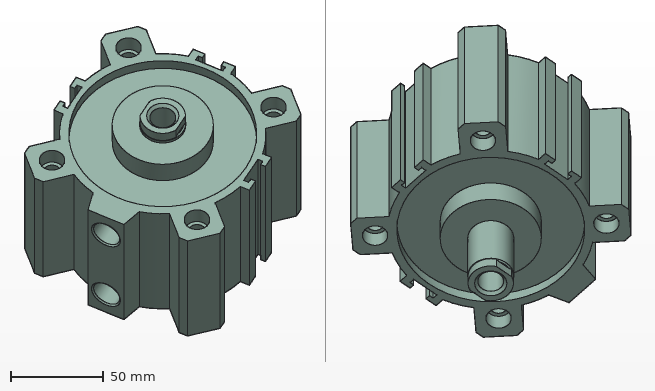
import cadquery as cq
import math


TOTAL_LENGTH = 143.0
BODY_WIDTH = 120.0
BODY_DEPTH = 126.0

BODY_HEIGHT = 82.0
BODY_DIAMETER = 112.0
RECESS_DIAMETER = 102.0
RECESS_DEPTH = 6.6
COLLAR_DIAMETER = 54.9
COLLAR_PROJECTION = 7.5

LUG_WIDTH = 25.9
LUG_REACH = 75.6
LUG_HOLE_SPACING = 89.0
LUG_HOLE_DIAMETER = 9.5
COUNTERBORE_DIAMETER = 13.7
COUNTERBORE_DEPTH = 10.0

RAIL_WIDTH = 26.0
SLOT_MOUTH_WIDTH = 11.5
SLOT_INNER_WIDTH = 16.6
SLOT_LIP_THICKNESS = 3.0
SLOT_FLOOR_RADIUS = 54.0
RAIL_ANGLES = (0, 90, 180)

PORT_FACE_WIDTH = 22.0
PORT_BLOCK_DRAFT = 15.0
PORT_END_DISTANCE = 15.3
PORT_DIAMETER = 16.0
PORT_CHAMFER = 0.9
PORT_DEPTH = 20.0

ROD_DIAMETER = 25.0
ROD_TOP_PROJECTION = 8.0
ROD_END_DIAMETER = 24.6
ROD_END_LENGTH = 5.6
SHOULDER_CHAMFER_HEIGHT = 0.7
SHOULDER_CHAMFER_WIDTH = 1.0
ROD_FLATS_WIDTH = 22.0
ROD_HOLE_DIAMETER = 14.0
ROD_HOLE_MOUTH_DIAMETER = 17.5
ROD_HOLE_DEPTH = 22.9
DRILL_POINT_ANGLE = 118.0

HALF_WIDTH = BODY_WIDTH / 2
PORT_FACE_DISTANCE = BODY_DEPTH - HALF_WIDTH
ROD_TOP = BODY_HEIGHT + COLLAR_PROJECTION + ROD_TOP_PROJECTION
ROD_BOTTOM = ROD_TOP - TOTAL_LENGTH


def cylinder(diameter, bottom, top):
    """Upright cylinder on the rod axis."""
    return cq.Workplane("XY").workplane(offset=bottom).circle(diameter / 2).extrude(top - bottom)


def box(x_size, y_size, x_center=0, y_center=0):
    """Upright block of the body's full height."""
    return (
        cq.Workplane("XY")
        .center(x_center, y_center)
        .rect(x_size, y_size)
        .extrude(BODY_HEIGHT)
    )


def rotated(shape, angle):
    """Copy of a shape rotated about the rod axis."""
    return shape.rotate((0, 0, 0), (0, 0, 1), angle)


def lugs():
    """Two crossing diagonal bars, with their corners trimmed to the body's square."""
    bar = box(2 * LUG_REACH, LUG_WIDTH)
    cross = rotated(bar, 45).union(rotated(bar, -45))
    return cross.intersect(box(BODY_WIDTH, BODY_WIDTH))


def rail():
    """Raised block for a T-slot, on the +X side."""
    return box(HALF_WIDTH, RAIL_WIDTH, HALF_WIDTH / 2)


def t_slot():
    """Cutter for the T-slot of the rail on the +X side."""
    slot_length = HALF_WIDTH - SLOT_FLOOR_RADIUS
    mouth = box(slot_length, SLOT_MOUTH_WIDTH, SLOT_FLOOR_RADIUS + slot_length / 2)
    inner_length = slot_length - SLOT_LIP_THICKNESS
    inner = box(inner_length, SLOT_INNER_WIDTH, SLOT_FLOOR_RADIUS + inner_length / 2)
    return mouth.union(inner)


def port_block():
    """Block on the front that narrows towards its flat port face."""
    root_distance = RECESS_DIAMETER / 2
    half_face = PORT_FACE_WIDTH / 2
    widening = (PORT_FACE_DISTANCE - root_distance) * math.tan(math.radians(PORT_BLOCK_DRAFT))
    half_root = half_face + widening
    outline = [
        (-half_face, -PORT_FACE_DISTANCE),
        (half_face, -PORT_FACE_DISTANCE),
        (half_root, -root_distance),
        (-half_root, -root_distance),
    ]
    return cq.Workplane("XY").polyline(outline).close().extrude(BODY_HEIGHT)


def port(height):
    """Cutter for one blind port with a chamfered mouth."""
    face = cq.Workplane("XZ", origin=(0, -PORT_FACE_DISTANCE, height))
    bore = face.circle(PORT_DIAMETER / 2).extrude(-PORT_DEPTH)
    mouth_radius = PORT_DIAMETER / 2 + PORT_CHAMFER
    chamfer = face.circle(mouth_radius).extrude(-PORT_CHAMFER, taper=45)
    return bore.union(chamfer)


def lug_holes():
    """Cutter for the lug through holes, counterbored at both ends."""
    layout = cq.Workplane("XY").rect(LUG_HOLE_SPACING, LUG_HOLE_SPACING, forConstruction=True).vertices()
    holes = layout.circle(LUG_HOLE_DIAMETER / 2).extrude(BODY_HEIGHT)
    counterbore = layout.circle(COUNTERBORE_DIAMETER / 2).extrude(COUNTERBORE_DEPTH)
    return holes.union(counterbore).union(counterbore.translate((0, 0, BODY_HEIGHT - COUNTERBORE_DEPTH)))


def make_housing():
    body = cylinder(BODY_DIAMETER, 0, BODY_HEIGHT).union(lugs())
    for angle in RAIL_ANGLES:
        body = body.union(rotated(rail(), angle))
    body = body.union(port_block())
    for angle in RAIL_ANGLES:
        body = body.cut(rotated(t_slot(), angle))
    for height in (PORT_END_DISTANCE, BODY_HEIGHT - PORT_END_DISTANCE):
        body = body.cut(port(height))
    body = body.cut(lug_holes())
    body = body.cut(cylinder(RECESS_DIAMETER, 0, RECESS_DEPTH))
    body = body.cut(cylinder(RECESS_DIAMETER, BODY_HEIGHT - RECESS_DEPTH, BODY_HEIGHT))
    collar_bottom = -COLLAR_PROJECTION
    collar_top = BODY_HEIGHT + COLLAR_PROJECTION
    body = body.union(cylinder(COLLAR_DIAMETER, collar_bottom, collar_top))
    return body.cut(cylinder(ROD_DIAMETER, collar_bottom, collar_top))


def turned_profile(points):
    """Solid of revolution about the rod axis, from (radius, height) points."""
    return cq.Workplane("XZ").polyline(points).close().revolve(360, (0, 0, 0), (0, 1, 0))


def rod_end_hole():
    """Cutter for the upper rod end: a drilled hole with a chamfered mouth and a conical bottom."""
    radius = ROD_HOLE_DIAMETER / 2
    mouth_radius = ROD_HOLE_MOUTH_DIAMETER / 2
    straight_end = ROD_TOP - ROD_HOLE_DEPTH
    tip = straight_end - radius / math.tan(math.radians(DRILL_POINT_ANGLE / 2))
    profile = [
        (0, ROD_TOP),
        (mouth_radius, ROD_TOP),
        (radius, ROD_TOP - (mouth_radius - radius)),
        (radius, straight_end),
        (0, tip),
    ]
    return turned_profile(profile)


def rod_end():
    """Upper rod end: slightly reduced, with two wrench flats facing +X and -X, set into the shoulder."""
    bottom = ROD_TOP - ROD_END_LENGTH - SHOULDER_CHAMFER_HEIGHT
    between_flats = (
        cq.Workplane("XY")
        .workplane(offset=bottom)
        .rect(ROD_FLATS_WIDTH, ROD_DIAMETER)
        .extrude(ROD_TOP - bottom)
    )
    return cylinder(ROD_END_DIAMETER, bottom, ROD_TOP).intersect(between_flats)


def mirrored(shape):
    """Copy of an upper rod end feature, placed at the lower rod end."""
    rod_middle = (ROD_TOP + ROD_BOTTOM) / 2
    return shape.mirror("XY", (0, 0, rod_middle))


def shaft():
    """Full-diameter length of the rod, with a shallow conical shoulder at each end."""
    bottom = ROD_BOTTOM + ROD_END_LENGTH
    top = ROD_TOP - ROD_END_LENGTH
    radius = ROD_DIAMETER / 2
    shoulder_radius = radius - SHOULDER_CHAMFER_WIDTH
    profile = [
        (0, bottom),
        (shoulder_radius, bottom),
        (radius, bottom + SHOULDER_CHAMFER_HEIGHT),
        (radius, top - SHOULDER_CHAMFER_HEIGHT),
        (shoulder_radius, top),
        (0, top),
    ]
    return turned_profile(profile)


def make_rod():
    rod = shaft().union(rod_end()).union(mirrored(rod_end()))
    return rod.cut(rod_end_hole()).cut(mirrored(rod_end_hole()))


housing = make_housing()
piston_rod = make_rod()

result = cq.Compound.makeCompound([housing.val(), piston_rod.val()])